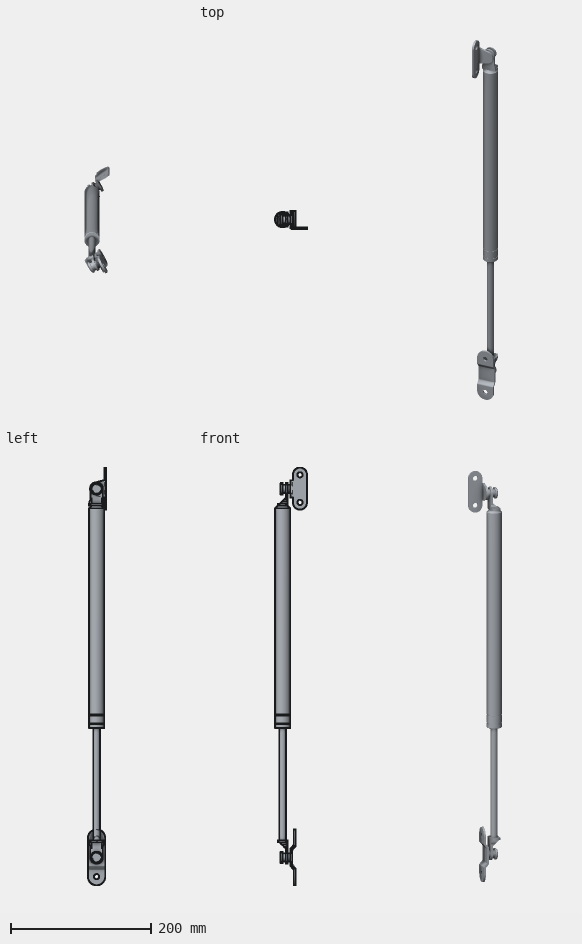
import cadquery as cq
import math


tube_radius = 11.0
tube_top = 243.0
tube_bottom = -74.0
shoulder_chamfer = 3.5
bottom_chamfer = 0.5
groove_centres = (-55.0, -67.5)
groove_width = 2.0
groove_depth = 0.5
rod_radius = 5.05
rod_bottom = -233.5

sheet = 3.0
eye_length = 24.5
foot_half_length = 7.0
foot_half_width = 10.0
blade_width = 18.0
blade_outer = foot_half_length
blade_inner = blade_outer - sheet
gusset_reach = 8.5
gusset_top = 11.5
gusset_gap = 14.5
flare_bottom = 6.0
flare_top = 9.0

pin_radius = 6.0
head_radius = 8.5
head_chamfer = 1.0
head_thickness = 3.5
head_end = -3.5
upper_pin_z = tube_top + eye_length
lower_pin_z = rod_bottom - eye_length

bracket_inner = 11.0
bracket_outer = bracket_inner + sheet
bracket_width = 25.0
mount_hole_diameter = 7.0
bend_radius = 3.0

upper_plate_top = 298.0
upper_plate_length = 60.0
upper_plate_width = 20.0
upper_plate_right = bracket_inner + 24.0
upper_plate_front = -14.0
upper_hole_spacing = 39.5
flange_round = 9.5

lower_bracket_bottom = -298.0
lower_bracket_length = 80.0
joggle_offset = 5.0
joggle_height = 5.5
joggle_bend_radius = 2.5
raised_length = 24.5


def x_cylinder(radius, x_start, x_end, z):
    """Cylinder parallel to X in the Y = 0 plane."""
    return (
        cq.Workplane("YZ", origin=(x_start, 0, z))
        .circle(radius)
        .extrude(x_end - x_start)
    )


def make_tube():
    tube = (
        cq.Workplane("XY", origin=(0, 0, tube_bottom))
        .circle(tube_radius)
        .extrude(tube_top - tube_bottom)
        .faces(">Z").edges().chamfer(shoulder_chamfer)
        .faces("<Z").edges().chamfer(bottom_chamfer)
    )
    for centre in groove_centres:
        groove = (
            cq.Workplane("XY", origin=(0, 0, centre - groove_width / 2))
            .circle(tube_radius)
            .circle(tube_radius - groove_depth)
            .extrude(groove_width)
        )
        tube = tube.cut(groove)
    return tube


def make_rod():
    return (
        cq.Workplane("XY", origin=(0, 0, rod_bottom))
        .circle(rod_radius)
        .extrude(tube_bottom - rod_bottom)
    )


def make_eye():
    """Eye with its foot on Z = 0 and its pin hole at Z = eye_length."""
    foot = (
        cq.Workplane("XY")
        .circle(tube_radius)
        .extrude(sheet)
        .intersect(cq.Workplane("XY").box(2 * foot_half_length, 2 * tube_radius, 2 * sheet))
    )
    side_profile = (
        cq.Workplane("XZ")
        .moveTo(blade_outer, 0)
        .lineTo(blade_outer, eye_length + tube_radius)
        .lineTo(blade_inner, eye_length + tube_radius)
        .lineTo(blade_inner, gusset_top)
        .lineTo(blade_inner - gusset_reach, sheet)
        .lineTo(blade_inner - gusset_reach, 0)
        .close()
        .extrude(tube_radius, both=True)
    )
    half = blade_width / 2
    outline = (
        cq.Workplane("YZ")
        .moveTo(-foot_half_width, 0)
        .lineTo(-foot_half_width, flare_bottom)
        .lineTo(-half, flare_top)
        .lineTo(-half, eye_length)
        .threePointArc((0, eye_length + half), (half, eye_length))
        .lineTo(half, flare_top)
        .lineTo(foot_half_width, flare_bottom)
        .lineTo(foot_half_width, 0)
        .close()
        .extrude(2 * tube_radius, both=True)
    )
    gap_between_gussets = (
        cq.Workplane("XY", origin=(0, 0, sheet))
        .center(blade_inner - gusset_reach / 2, 0)
        .rect(gusset_reach, gusset_gap)
        .extrude(gusset_top)
    )
    eye = side_profile.intersect(outline).cut(gap_between_gussets).union(foot)
    return eye.cut(x_cylinder(pin_radius, blade_inner, blade_outer, eye_length))


def make_pin(z):
    head = (
        x_cylinder(head_radius, head_end, head_end + head_thickness, z)
        .faces("<X").edges().chamfer(head_chamfer)
    )
    return head.union(x_cylinder(pin_radius, head_end + head_thickness, bracket_outer, z))


def make_upper_bracket():
    plate_centre_x = upper_plate_right - upper_plate_width / 2
    plate_centre_z = upper_plate_top - upper_plate_length / 2
    plate_back = upper_plate_front + sheet
    plate = (
        cq.Workplane("XZ", origin=(plate_centre_x, plate_back, plate_centre_z))
        .slot2D(upper_plate_length, upper_plate_width, 90)
        .extrude(sheet)
    )
    web = (
        cq.Workplane("XY", origin=(0, 0, upper_pin_z))
        .moveTo(plate_centre_x, upper_plate_front)
        .lineTo(bracket_inner, upper_plate_front)
        .lineTo(bracket_inner, flange_round)
        .lineTo(bracket_outer, flange_round)
        .lineTo(bracket_outer, plate_back)
        .lineTo(plate_centre_x, plate_back)
        .close()
        .extrude(bracket_width / 2, both=True)
        .edges("|Z and <X and <Y").fillet(bend_radius)
    )
    half = bracket_width / 2
    flange_outline = (
        cq.Workplane("YZ", origin=(0, 0, upper_pin_z))
        .moveTo(upper_plate_front, -half)
        .lineTo(plate_back, -half)
        .lineTo(0, -flange_round)
        .threePointArc((flange_round, 0), (0, flange_round))
        .lineTo(plate_back, half)
        .lineTo(upper_plate_front, half)
        .close()
        .extrude(upper_plate_right)
    )
    mount_holes = (
        cq.Workplane("XZ", origin=(plate_centre_x, plate_back, plate_centre_z))
        .rarray(6, upper_hole_spacing, 1, 2)
        .circle(mount_hole_diameter / 2)
        .extrude(sheet)
    )
    bracket = plate.union(web.intersect(flange_outline)).cut(mount_holes)
    return bracket.cut(x_cylinder(pin_radius, bracket_inner, bracket_outer, upper_pin_z))


def make_lower_bracket():
    top = lower_bracket_bottom + lower_bracket_length
    raised_top = lower_pin_z + raised_length / 2
    raised_bottom = lower_pin_z - raised_length / 2
    bend_shift = sheet * math.tan(math.atan2(joggle_offset, joggle_height) / 2)

    def face_points(x_raised, shift):
        x_plate = x_raised + joggle_offset
        return [
            (x_plate, top),
            (x_plate, raised_top + joggle_height - shift),
            (x_raised, raised_top - shift),
            (x_raised, raised_bottom + shift),
            (x_plate, raised_bottom - joggle_height + shift),
            (x_plate, lower_bracket_bottom),
        ]

    inner_face = face_points(bracket_inner, 0)
    outer_face = face_points(bracket_outer, bend_shift)
    strip = (
        cq.Workplane("XZ")
        .polyline(inner_face + outer_face[::-1])
        .close()
        .extrude(bracket_width / 2, both=True)
        .edges("|Y and (not >Z) and (not <Z)").fillet(joggle_bend_radius)
    )
    centre_z = (top + lower_bracket_bottom) / 2
    reach = bracket_outer + joggle_offset
    outline = (
        cq.Workplane("YZ", origin=(0, 0, centre_z))
        .slot2D(lower_bracket_length, bracket_width, 90)
        .extrude(reach)
    )
    bracket = strip.intersect(outline)
    for hole_z in (top - bracket_width / 2, lower_bracket_bottom + bracket_width / 2):
        bracket = bracket.cut(x_cylinder(mount_hole_diameter / 2, 0, reach, hole_z))
    return bracket.cut(x_cylinder(pin_radius, bracket_inner, bracket_outer, lower_pin_z))


tube = make_tube()
rod = make_rod()

eye = make_eye()
upper_eye = eye.translate((0, 0, tube_top))
lower_eye = eye.mirror("XY").translate((0, 0, rod_bottom))

pins = [make_pin(z).val() for z in (upper_pin_z, lower_pin_z)]

upper_bracket = make_upper_bracket()
lower_bracket = make_lower_bracket()

result = cq.Compound.makeCompound([
    tube.val(),
    rod.val(),
    upper_eye.val(),
    lower_eye.val(),
    *pins,
    upper_bracket.val(),
    lower_bracket.val(),
])